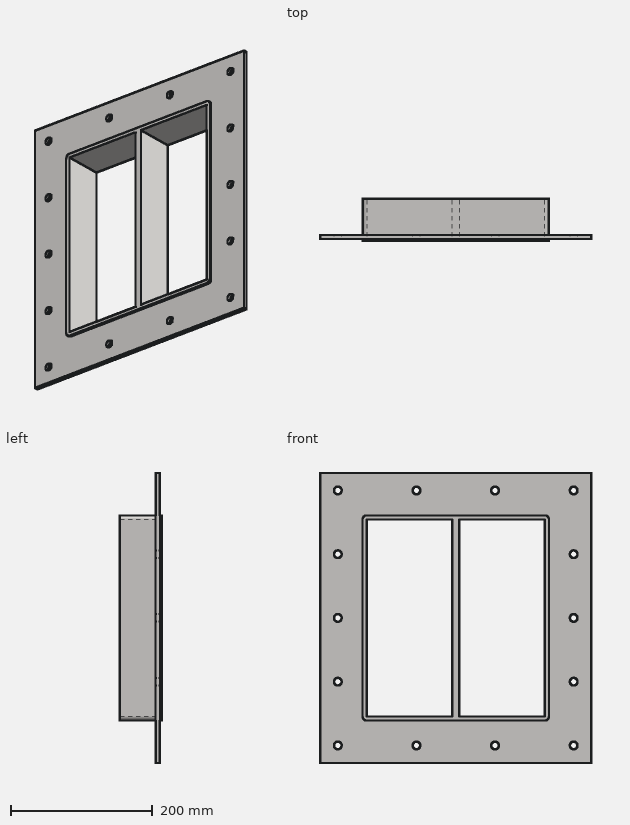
import cadquery as cq

PLATE_WIDTH = 383.0
PLATE_HEIGHT = 410.0
PLATE_THICKNESS = 6.0

FLANGE_MARGIN = 60.0
SLEEVE_WIDTH = PLATE_WIDTH - 2 * FLANGE_MARGIN
SLEEVE_HEIGHT = PLATE_HEIGHT - 2 * FLANGE_MARGIN
SLEEVE_LENGTH = 60.0
SLEEVE_FRONT_PROJECTION = 3.0
SLEEVE_WALL = 6.0
SLEEVE_CORNER_RADIUS = 6.0

DIVIDER_THICKNESS = 10.0
OPENING_WIDTH = (SLEEVE_WIDTH - 2 * SLEEVE_WALL - DIVIDER_THICKNESS) / 2
OPENING_HEIGHT = SLEEVE_HEIGHT - 2 * SLEEVE_WALL
OPENING_OFFSET = (OPENING_WIDTH + DIVIDER_THICKNESS) / 2

HOLE_DIAMETER = 10.5
HOLE_EDGE_DISTANCE = 25.0
HOLES_PER_ROW = 4
HOLES_PER_COLUMN = 5
HOLE_PITCH_X = (PLATE_WIDTH - 2 * HOLE_EDGE_DISTANCE) / (HOLES_PER_ROW - 1)
HOLE_PITCH_Z = (PLATE_HEIGHT - 2 * HOLE_EDGE_DISTANCE) / (HOLES_PER_COLUMN - 1)


def block_along_y(width, height, length, front_y):
    """Box centred in X and Z, running from front_y toward +Y."""
    return cq.Workplane("XY").box(width, length, height).translate((0, front_y + length / 2, 0))


def bolt_hole_positions():
    """(X, Z) centres of the holes: the outermost rows and columns of a regular grid."""
    positions = []
    for column in range(HOLES_PER_ROW):
        for row in range(HOLES_PER_COLUMN):
            on_side = column in (0, HOLES_PER_ROW - 1)
            on_end = row in (0, HOLES_PER_COLUMN - 1)
            if on_side or on_end:
                x = (column - (HOLES_PER_ROW - 1) / 2) * HOLE_PITCH_X
                z = (row - (HOLES_PER_COLUMN - 1) / 2) * HOLE_PITCH_Z
                positions.append((x, z))
    return positions


def make_plate():
    plate = block_along_y(PLATE_WIDTH, PLATE_HEIGHT, PLATE_THICKNESS, 0)
    holes = (
        cq.Workplane("XZ")
        .pushPoints(bolt_hole_positions())
        .circle(HOLE_DIAMETER / 2)
        .extrude(-PLATE_THICKNESS)
    )
    return plate.cut(holes)


def make_sleeve_body():
    body = block_along_y(SLEEVE_WIDTH, SLEEVE_HEIGHT, SLEEVE_LENGTH, -SLEEVE_FRONT_PROJECTION)
    return body.edges("|Y").fillet(SLEEVE_CORNER_RADIUS)


def cut_openings(body):
    opening = block_along_y(OPENING_WIDTH, OPENING_HEIGHT, SLEEVE_LENGTH, -SLEEVE_FRONT_PROJECTION)
    for side in (-1, 1):
        body = body.cut(opening.translate((side * OPENING_OFFSET, 0, 0)))
    return body


result = cut_openings(make_plate().union(make_sleeve_body()))